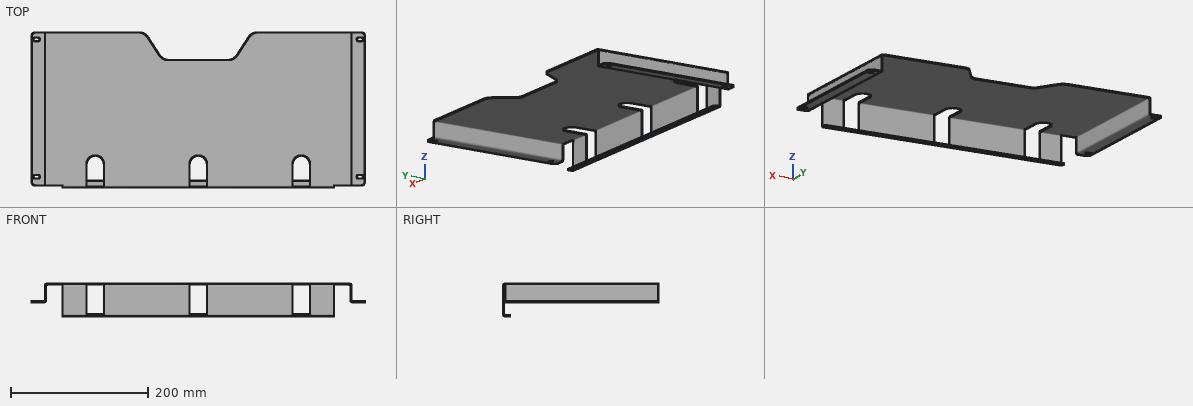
import cadquery as cq

width = 485.0
depth = 226.0
height = 47.4

sheet = 1.5
inner_radius = 1.5
outer_radius = inner_radius + sheet

flange_width = 19.3
step_height = 27.0
flange_corner_radius = 5.0

mount_slot_length = 9.0
mount_slot_width = 5.0
mount_slot_inset = 7.0
mount_slot_back_offset = 10.2
mount_slot_spacing = 200.0

apron_width = 396.0
lip_depth = 10.0

opening_width = 25.0
opening_spacing = 150.0
opening_depth = 46.5

recess_back_half_width = 78.0
recess_floor_half_width = 52.0
recess_depth = 40.0
recess_corner_radius = 15.0

panel_half_width = width / 2 - flange_width
panel_front = outer_radius
panel_length = depth - panel_front
flange_bottom = height - step_height


def round_bend(body, axis, inner_corner, outer_corner):
    """Round the inner and outer edges, parallel to the axis, of a sharp sheet corner."""
    corners = ((inner_corner, inner_radius), (outer_corner, outer_radius))
    for corner, radius in corners:
        nearest = cq.selectors.NearestToPointSelector(corner)
        body = body.edges(f"|{axis}").edges(nearest).fillet(radius)
    return body


def stepped_panel():
    """Flat top panel with a step wall and an outward mounting flange on both sides."""
    flange_top = flange_bottom + sheet
    wall_inside = panel_half_width - sheet
    right_half = [
        (wall_inside, height - sheet),
        (wall_inside, flange_bottom),
        (width / 2, flange_bottom),
        (width / 2, flange_top),
        (panel_half_width, flange_top),
        (panel_half_width, height),
    ]
    left_half = [(-x, z) for x, z in reversed(right_half)]
    body = (
        cq.Workplane("XZ", origin=(0, depth, 0))
        .polyline(right_half + left_half)
        .close()
        .extrude(panel_length)
    )
    middle = panel_front + panel_length / 2
    for side in (-1, 1):
        inside = side * wall_inside
        outside = side * panel_half_width
        body = round_bend(body, "Y", (inside, middle, height - sheet), (outside, middle, height))
        body = round_bend(body, "Y", (outside, middle, flange_top), (inside, middle, flange_bottom))
    for end in (">X", "<X"):
        body = body.faces(end).edges("|Z").fillet(flange_corner_radius)
    return body


def apron():
    """Front wall bent down from the panel, with the lip bent back under it."""
    root = 2 * panel_front
    profile = [
        (root, height),
        (0, height),
        (0, 0),
        (lip_depth, 0),
        (lip_depth, sheet),
        (sheet, sheet),
        (sheet, height - sheet),
        (root, height - sheet),
    ]
    body = (
        cq.Workplane("YZ", origin=(-apron_width / 2, 0, 0))
        .polyline(profile)
        .close()
        .extrude(apron_width)
    )
    body = round_bend(body, "X", (0, sheet, height - sheet), (0, 0, height))
    return round_bend(body, "X", (0, sheet, sheet), (0, 0, 0))


def openings():
    """Round-ended cutters through the panel and the apron, stopping above the lip bend."""
    end_radius = opening_width / 2
    straight_end = opening_depth - end_radius
    opening_xs = (-opening_spacing, 0, opening_spacing)
    return (
        cq.Workplane("XY", origin=(0, 0, outer_radius))
        .pushPoints([(x, straight_end / 2) for x in opening_xs])
        .rect(opening_width, straight_end)
        .extrude(height)
        .pushPoints([(x, straight_end) for x in opening_xs])
        .circle(end_radius)
        .extrude(height)
    )


def cut_recess(body):
    """Cut the tapered finger recess and round its four corners."""
    floor = depth - recess_depth
    outline = [
        (-recess_back_half_width, depth),
        (-recess_floor_half_width, floor),
        (recess_floor_half_width, floor),
        (recess_back_half_width, depth),
    ]
    cutter = cq.Workplane("XY").polyline(outline).close().extrude(height)
    body = body.cut(cutter)
    for x, y in outline:
        corner = cq.selectors.NearestToPointSelector((x, y, height - sheet / 2))
        body = body.edges("|Z").edges(corner).fillet(recess_corner_radius)
    return body


def mounting_slots():
    """Cutters for the slot near each end of both flanges."""
    slot_x = width / 2 - mount_slot_inset
    back_y = depth - mount_slot_back_offset
    centers = [(side * slot_x, back_y - end * mount_slot_spacing) for side in (-1, 1) for end in (0, 1)]
    return (
        cq.Workplane("XY")
        .pushPoints(centers)
        .slot2D(mount_slot_length, mount_slot_width)
        .extrude(height)
    )


result = stepped_panel().union(apron())
result = result.cut(openings()).cut(mounting_slots())
result = cut_recess(result)